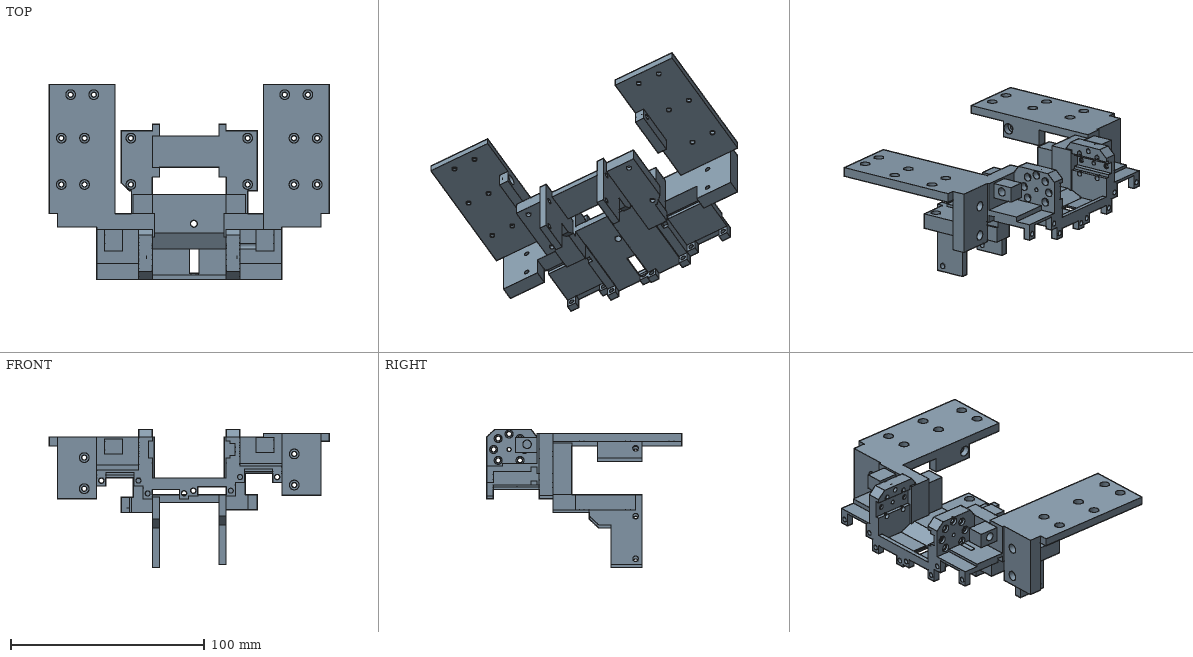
import cadquery as cq
import math


HALF_WIDTH = 72.5
LEG_INNER = 15.3
CHEEK_INNER = 19.1
LIP_INNER = 18.0
CHEEK_OUTER = 26.2
POST_OUTER = 29.1
ARM_INNER = 38.3
FRONT_WALL_INNER = 47.9
FRONT_WALL_OUTER = 68.3
PLATE_OUTER = 35.2

DEPTH = 101.0
WEB_FRONT = 26.0
FRONT_WALL_FRONT = 27.1
WEB_BACK = 34.2
POST_BACK = 44.1
LIP_FRONT = 22.0
STRIP_DEPTH = 3.5
DECK_STEP = 8.3
LEG_BACK = 80.4
NOTCH_FRONT = 22.9
BRIDGE_FRONT, BRIDGE_BACK = 58.1, 74.4

TOTAL_HEIGHT = 71.65
WEB_TOP = 67.7
POST_TOP = 64.6
FLOOR_TOP = 46.5
TROUGH_TOP = 42.7
BRIDGE_BOTTOM = 33.65
NOTCH_HEIGHT = 2.3

RIGHT = {
    "arm_top": 69.6, "arm_bottom": 65.35, "wall_bottom": 37.5, "bracket_bottom": 56.8,
    "plate_top": 37.9, "plate_bottom": 30.0, "foot": 1.6,
    "deck_top": 54.0, "deck_front_top": 52.6, "deck_bottom": 49.8, "strip_bottom": 51.2, "web_bottom": 48.85,
    "outer_tab": 44.1, "inner_tab": 37.0, "pod_bottom": 42.7, "floor_bottom": 41.8,
    "block_bottom": 59.6, "block_top": 67.5,
}
LEFT = {
    "arm_top": 67.7, "arm_bottom": 62.9, "wall_bottom": 35.6, "bracket_bottom": 54.9,
    "plate_top": 36.5, "plate_bottom": 28.55, "foot": 0.0,
    "deck_top": 53.2, "deck_front_top": 50.7, "deck_bottom": 47.9, "strip_bottom": 49.3, "web_bottom": 46.5,
    "outer_tab": 42.2, "inner_tab": 35.6, "pod_bottom": 41.3, "floor_bottom": 40.4,
    "block_bottom": 58.75, "block_top": 66.7,
}

SCREW_DIAMETER = 2.5
SCREW_HEAD_DIAMETER = 5.0
SCREW_SEAT = 2.35
ARM_SCREW_SEAT = 0.7
SCREW_ROWS_Y = (49.2, 73.2)
ARM_END_ROW_Y = 95.7
ARM_SCREWS = [(x, y) for x in (54.2, 66.2) for y in SCREW_ROWS_Y] + [(x, ARM_END_ROW_Y) for x in (49.4, 61.4)]
PLATE_SCREWS = [(30.2, y) for y in SCREW_ROWS_Y]
WALL_SCREW_X = 54.35
WALL_SCREW_DROPS = (10.7, 26.8)
CROSS_HOLE_DIAMETER = 2.8
CROSS_HOLE_Y = 77.1
TAB_HOLE_DIAMETER = 2.6
TAB_SIZE = 4.8
TAB_HOLE_RISE = 2.85
POD_OUTER = CHEEK_INNER + TAB_SIZE

HUB_Y, HUB_Z = 11.6, 61.2
HUB_HOLE_DIAMETER = 2.0
RING_RADIUS = 8.0
RING_ANGLES = (-45, 0, 45, 90, 135, 180, 225)
RING_HOLE_DIAMETER = 2.5
RING_HEAD_DIAMETER = 4.1

DOWN, BACKWARD, OUTWARD, INWARD = (0, 0, -1), (0, 1, 0), (1, 0, 0), (-1, 0, 0)


def box(x_range, y_range, z_range):
    """Block between two corners, given as (low, high) pairs."""
    sizes = [high - low for low, high in (x_range, y_range, z_range)]
    corner = (x_range[0], y_range[0], z_range[0])
    return cq.Workplane("XY").box(*sizes, centered=False).translate(corner)


def side_profile(points, x_range):
    """Prism along X with an outline of (y, z) points."""
    length = x_range[1] - x_range[0]
    return cq.Workplane("YZ", origin=(x_range[0], 0, 0)).polyline(points).close().extrude(length)


def pin(start, direction, diameter, length):
    """Round bar used to cut a hole."""
    solid = cq.Solid.makeCylinder(diameter / 2, length, cq.Vector(*start), cq.Vector(*direction))
    return cq.Workplane(solid)


def counterbored(start, direction, thickness, seat=SCREW_SEAT):
    """Cutter for a screw hole whose head pocket leaves a seat at the far face."""
    hole = pin(start, direction, SCREW_DIAMETER, thickness)
    return hole.union(pin(start, direction, SCREW_HEAD_DIAMETER, thickness - seat))


def arm(h):
    """Long top plate, its front wall and the small bracket hanging below its inner edge."""
    bracket_thickness, bracket_front = 5.0, 57.3
    pocket_diameter, pocket_depth = 5.5, 3.5
    cross_hole_drop = 7.75
    body = box((ARM_INNER, HALF_WIDTH), (WEB_BACK, DEPTH), (h["arm_bottom"], h["arm_top"]))
    front_wall_x = (FRONT_WALL_INNER, FRONT_WALL_OUTER)
    body = body.union(box(front_wall_x, (FRONT_WALL_FRONT, WEB_BACK), (h["wall_bottom"], h["arm_top"])))
    corner_x = (ARM_INNER, FRONT_WALL_INNER)
    body = body.union(box(corner_x, (WEB_FRONT, WEB_BACK), (h["arm_bottom"], h["arm_top"])))
    bracket_x = (ARM_INNER, ARM_INNER + bracket_thickness)
    body = body.union(box(bracket_x, (bracket_front, LEG_BACK), (h["bracket_bottom"], h["arm_bottom"])))
    hole_start = (ARM_INNER, CROSS_HOLE_Y, h["arm_top"] - cross_hole_drop)
    body = body.cut(pin(hole_start, OUTWARD, CROSS_HOLE_DIAMETER, bracket_thickness))
    body = body.cut(pin(hole_start, OUTWARD, pocket_diameter, pocket_depth))
    thickness = h["arm_top"] - h["arm_bottom"]
    for x, y in ARM_SCREWS:
        body = body.cut(counterbored((x, y, h["arm_top"]), DOWN, thickness, ARM_SCREW_SEAT))
    for drop in WALL_SCREW_DROPS:
        start = (WALL_SCREW_X, FRONT_WALL_FRONT, h["arm_top"] - drop)
        body = body.cut(counterbored(start, BACKWARD, WEB_BACK - FRONT_WALL_FRONT))
    return body


def web_and_post(h):
    """Upright web behind the cheek, its inner lip and the post that stands on the lower plate."""
    web = box((CHEEK_INNER, FRONT_WALL_INNER), (WEB_FRONT, WEB_BACK), (h["web_bottom"], WEB_TOP))
    lip = box((LIP_INNER, CHEEK_INNER), (LIP_FRONT, WEB_BACK), (h["floor_bottom"], WEB_TOP))
    post = box((CHEEK_INNER, POST_OUTER), (WEB_BACK, POST_BACK), (h["plate_top"], POST_TOP))
    return web.union(lip).union(post)


def lower_plate(h, chamfered):
    """Screw plate at the height of the bridge, with the hanging leg at its inner edge."""
    plate_back, shoulder, bevel = 77.1, 45.9, 4.2
    neck_x = 30.0 if chamfered else 30.3
    outline = [(CHEEK_INNER, WEB_BACK), (neck_x, WEB_BACK), (neck_x, shoulder)]
    if chamfered:
        outline += [(PLATE_OUTER - bevel, shoulder), (PLATE_OUTER, shoulder + bevel)]
    else:
        outline += [(PLATE_OUTER, shoulder)]
    outline += [(PLATE_OUTER, plate_back), (CHEEK_INNER, plate_back)]
    thickness = h["plate_top"] - h["plate_bottom"]
    body = cq.Workplane("XY", origin=(0, 0, h["plate_bottom"])).polyline(outline).close().extrude(thickness)
    for x, y in PLATE_SCREWS:
        body = body.cut(counterbored((x, y, h["plate_top"]), DOWN, thickness))
    return body.union(leg(h))


def leg(h):
    """Hanging leg with a narrow foot at the back and two cross holes."""
    leg_front, foot_front, bevel_front = 53.0, 64.3, 58.1
    knee_height, bevel_height = 20.45, 25.2
    hole_heights = (3.1, 25.15)
    foot, top = h["foot"], h["plate_top"]
    outline = [
        (LEG_BACK, foot), (foot_front, foot), (foot_front, foot + knee_height),
        (bevel_front, foot + knee_height), (leg_front, foot + bevel_height),
        (leg_front, top), (LEG_BACK, top),
    ]
    body = side_profile(outline, (LEG_INNER, CHEEK_INNER))
    for height in hole_heights:
        start = (LEG_INNER, CROSS_HOLE_Y, foot + height)
        body = body.cut(pin(start, OUTWARD, CROSS_HOLE_DIAMETER, CHEEK_INNER - LEG_INNER))
    return body


def cheek(h, recesses, head_depth):
    """Upright wall with bevelled top corners, a ring of screw holes and stepped recesses inside."""
    front_bevel, back_bevel = 4.2, 3.0
    outline = [
        (0, h["deck_front_top"]), (0, WEB_TOP), (front_bevel, TOTAL_HEIGHT),
        (WEB_FRONT - back_bevel, TOTAL_HEIGHT), (WEB_FRONT, WEB_TOP), (WEB_FRONT, h["deck_front_top"]),
    ]
    body = side_profile(outline, (CHEEK_INNER, CHEEK_OUTER))
    for reach, half_height in recesses:
        z_range = (HUB_Z - half_height, HUB_Z + half_height)
        body = body.cut(box((CHEEK_INNER, reach), (0, LIP_FRONT), z_range))
    thickness = CHEEK_OUTER - CHEEK_INNER
    body = body.cut(pin((CHEEK_INNER, HUB_Y, HUB_Z), OUTWARD, HUB_HOLE_DIAMETER, thickness))
    for y, z in ring_places():
        body = body.cut(pin((CHEEK_INNER, y, z), OUTWARD, RING_HOLE_DIAMETER, thickness))
        body = body.cut(pin((CHEEK_OUTER - head_depth, y, z), OUTWARD, RING_HEAD_DIAMETER, head_depth))
    return body


def ring_places():
    """The (y, z) centres of the screw ring."""
    angles = [math.radians(angle) for angle in RING_ANGLES]
    return [(HUB_Y - RING_RADIUS * math.cos(a), HUB_Z + RING_RADIUS * math.sin(a)) for a in angles]


def deck(h):
    """Stepped side deck outside the cheek, with its block and the drilled-in head clearance."""
    block_inner, block_outer, block_front = 34.6, 43.75, 14.9
    block_hole_diameter, block_hole_y, block_hole_drop = 4.41, 20.9, 3.6
    block_hole_depth = 8.0
    outline = [
        (0, h["strip_bottom"]), (STRIP_DEPTH, h["strip_bottom"]), (STRIP_DEPTH, h["deck_bottom"]),
        (NOTCH_FRONT, h["deck_bottom"]), (NOTCH_FRONT, h["deck_bottom"] + NOTCH_HEIGHT),
        (WEB_FRONT, h["deck_bottom"] + NOTCH_HEIGHT), (WEB_FRONT, h["deck_top"]),
        (DECK_STEP, h["deck_top"]), (DECK_STEP, h["deck_front_top"]), (0, h["deck_front_top"]),
    ]
    body = side_profile(outline, (CHEEK_INNER, FRONT_WALL_INNER))
    for y, z in ring_places():
        body = body.cut(pin((CHEEK_OUTER, y, z), OUTWARD, RING_HEAD_DIAMETER, block_inner - CHEEK_OUTER))
    block = box((block_inner, block_outer), (block_front, WEB_FRONT), (h["block_bottom"], h["block_top"]))
    hole_start = (block_outer, block_hole_y, h["block_top"] - block_hole_drop)
    block = block.cut(pin(hole_start, INWARD, block_hole_diameter, block_hole_depth))
    return body.union(block)


def pod(h):
    """Thickened base below the cheek, notched at the back like the deck."""
    notch_reach = 2.4
    base = box((CHEEK_INNER, POD_OUTER), (0, WEB_BACK), (h["pod_bottom"], h["deck_top"]))
    notch_z = (h["pod_bottom"], h["pod_bottom"] + NOTCH_HEIGHT)
    return base.cut(box((POD_OUTER - notch_reach, POD_OUTER), (NOTCH_FRONT, WEB_FRONT), notch_z))


def tab(x_range, bottom, top):
    """Small hanging lug with a hole from front to back."""
    hole_start = (sum(x_range) / 2, 0, bottom + TAB_HOLE_RISE)
    hole = pin(hole_start, BACKWARD, TAB_HOLE_DIAMETER, STRIP_DEPTH)
    return box(x_range, (0, STRIP_DEPTH), (bottom, top)).cut(hole)


def side_tabs(h):
    """The lug under the pod and the two lugs at the ends of the deck."""
    body = tab((CHEEK_INNER, POD_OUTER), h["inner_tab"], h["pod_bottom"])
    for inner in (POD_OUTER, FRONT_WALL_INNER - TAB_SIZE):
        body = body.union(tab((inner, inner + TAB_SIZE), h["outer_tab"], h["deck_front_top"]))
    return body


def side(h, chamfered, recesses, head_depth):
    """Everything on one side of the middle plane, on +X."""
    body = arm(h).union(web_and_post(h)).union(lower_plate(h, chamfered))
    body = body.union(cheek(h, recesses, head_depth)).union(deck(h))
    return body.union(pod(h)).union(side_tabs(h))


def floor():
    """Trough between the cheeks: front lip, sunk front, slope and raised back, split in two heights."""
    lip_depth, slope_front, slope_back = 2.4, 15.7, 24.0
    split = -0.3
    slot_x, slot_front = (0.2, 5.0), 3.1
    hole_x, hole_y, hole_diameter = 2.4, 28.9, 3.4
    body = None
    for h, x_range in ((LEFT, (-CHEEK_INNER, split)), (RIGHT, (split, CHEEK_INNER))):
        bottom = h["floor_bottom"]
        outline = [
            (0, bottom), (0, FLOOR_TOP), (lip_depth, FLOOR_TOP), (lip_depth, TROUGH_TOP),
            (slope_front, TROUGH_TOP), (slope_back, FLOOR_TOP), (POST_BACK, FLOOR_TOP), (POST_BACK, bottom),
        ]
        half = side_profile(outline, x_range)
        body = half if body is None else body.union(half)
    for h, x_range in ((LEFT, (split - TAB_SIZE, split)), (RIGHT, (split, split + TAB_SIZE))):
        body = body.union(tab(x_range, h["inner_tab"], h["floor_bottom"]))
    body = body.cut(box(slot_x, (slot_front, slope_front), (LEFT["floor_bottom"], TROUGH_TOP)))
    return body.cut(pin((hole_x, hole_y, FLOOR_TOP), DOWN, hole_diameter, FLOOR_TOP - LEFT["floor_bottom"]))


def bridge():
    """Flat bar that joins the two lower plates."""
    z_range = (BRIDGE_BOTTOM, RIGHT["plate_top"])
    return box((-CHEEK_INNER, LEG_INNER), (BRIDGE_FRONT, BRIDGE_BACK), z_range)


WIDE_RECESS = (21.0, 4.5)
NARROW_RECESS = (23.8, 3.0)
RIGHT_HEAD_DEPTH = 1.5
LEFT_HEAD_DEPTH = 4.0

right_side = side(RIGHT, False, [WIDE_RECESS, NARROW_RECESS], RIGHT_HEAD_DEPTH)
left_side = side(LEFT, True, [WIDE_RECESS], LEFT_HEAD_DEPTH).mirror("YZ")
result = right_side.union(left_side).union(floor()).union(bridge())